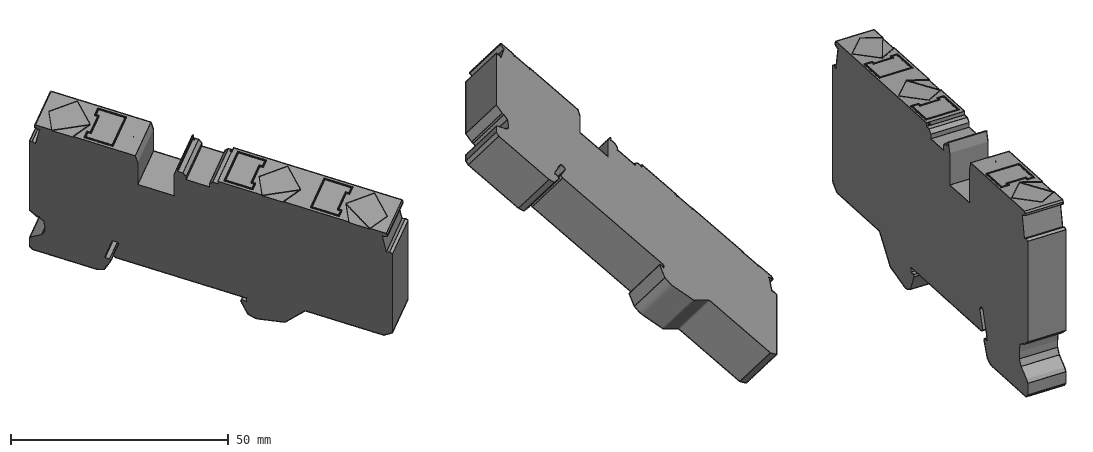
import cadquery as cq

LENGTH = 89.2
WIDTH = 10.2
HEIGHT = 49.7

SHOULDER_Z = 42.4
RAIL_Z = 7.0
RAIL_LIP_Z = 5.7
TAIL_Z = 9.1
TAIL_CHAMFER = 2.05
LIP_CHAMFER = 0.5
RAIL_STOP_X = 53.3
FLEX_SLOT_Z = 12.5

LEDGE_RISE = 0.4
HOOK_X = 1.25
HOOK_BOTTOM = 1.1
HOOK_CHAMFER_X = 0.3
HOOK_CHAMFER_Z = 0.5

SLOT_LEFT = 26.7
SLOT_RIGHT = 35.6
SLOT_FLOOR_Z = 38.6
SLOT_FLARE = 0.6
SLOT_FLARE_DEPTH = 2.6

MARKER_LEFT = 36.5
MARKER_RIGHT = 46.3
MARKER_STEP_Z = 48.7
MARKER_BEVEL_Z = 47.7
MARKER_FLOOR_Z = 46.5
MARKER_STEP = 1.25
MARKER_BEVEL = 0.8

NUB_REACH = 0.5
NUB_Z = 49.2
NUB_HALF_HEIGHT = 0.2
NUB_ROOT = 0.1
NUB_Y_MIN = 9.3
NUB_Y_MAX = 9.7

BUTTON_LEFT_X = 20.25
BUTTON_MIDDLE_X = 47.5
BUTTON_RIGHT_X = 68.8
BUTTON_LENGTH = 7.05
BUTTON_Y_MIN = 0.7
BUTTON_Y_MAX = 9.5
BUTTON_NOTCH = 0.8
BUTTON_NOTCH_Y_MIN = 2.6
BUTTON_NOTCH_Y_MAX = 7.4
GROOVE_WIDTH = 0.3
GROOVE_DEPTH = 0.3

ENTRY_END_OFFSET = 8.1
ENTRY_MIDDLE_X = 59.8
ENTRY_HALF_WIDTH = 5.1
ENTRY_Y = 4.6
ENTRY_BACK_Y = 9.7
ENTRY_MOUTH = 2.6
ENTRY_DEPTH = 0.1
TRIANGLE_DEPTH = 0.3

TEST_POINT = (23.7, 4.9)
TEST_POINT_DIAMETER = 0.1
TEST_POINT_DEPTH = 0.3


def shoulder_points():
    """Ledge and hooked top edge at the left end, from the ledge upward."""
    return [
        (0, SHOULDER_Z),
        (0.7, SHOULDER_Z + LEDGE_RISE),
        (1.5, SHOULDER_Z),
        (2.5, HEIGHT - 1.6),
        (HOOK_X, HEIGHT - HOOK_BOTTOM),
        (HOOK_X, HEIGHT - HOOK_CHAMFER_Z),
        (HOOK_X + HOOK_CHAMFER_X, HEIGHT),
    ]


def slot_points():
    """Deep slot with walls that flare toward the top face."""
    return [
        (SLOT_LEFT - SLOT_FLARE, HEIGHT),
        (SLOT_LEFT, HEIGHT - SLOT_FLARE_DEPTH),
        (SLOT_LEFT, SLOT_FLOOR_Z),
        (SLOT_RIGHT, SLOT_FLOOR_Z),
        (SLOT_RIGHT, HEIGHT - SLOT_FLARE_DEPTH),
        (SLOT_RIGHT + SLOT_FLARE, HEIGHT),
    ]


def marker_groove_points():
    """Stepped groove, symmetric about its own middle."""
    left_half = [
        (MARKER_LEFT, HEIGHT),
        (MARKER_LEFT, MARKER_STEP_Z),
        (MARKER_LEFT + MARKER_STEP, MARKER_STEP_Z),
        (MARKER_LEFT + MARKER_STEP + MARKER_BEVEL, MARKER_BEVEL_Z),
        (MARKER_LEFT + MARKER_STEP + MARKER_BEVEL, MARKER_FLOOR_Z),
    ]
    right_half = [(MARKER_LEFT + MARKER_RIGHT - x, z) for x, z in reversed(left_half)]
    return left_half + right_half


def add_lines(outline, points):
    for point in points:
        outline = outline.lineTo(*point)
    return outline


def side_outline():
    """Closed side outline in the XZ plane, clockwise from the lower left corner."""
    left_end = shoulder_points()
    right_end = [(LENGTH - x, z) for x, z in reversed(left_end)]
    finger_recess = [
        (0, 4.1),
        (0.5, 4.9),
        (3.0, 7.05),
        (3.8, 8.65),
        (3.8, 10.4),
        (3.6, 12.7),
        (2.4, 13.6),
        (1.9, 13.6),
        (0, 15.25),
    ]
    tail = [
        (LENGTH, TAIL_Z + TAIL_CHAMFER),
        (LENGTH - TAIL_CHAMFER, TAIL_Z),
        (68.15, TAIL_Z),
    ]
    fixed_foot_grip = [
        (53.6, 0.9),
        (51.9, RAIL_LIP_Z - LIP_CHAMFER),
        (52.1, RAIL_LIP_Z),
        (RAIL_STOP_X, RAIL_LIP_Z),
        (RAIL_STOP_X, RAIL_Z),
    ]
    flex_slot_right = [(21.1, RAIL_Z), (20.5, RAIL_Z + 0.6), (21.9, FLEX_SLOT_Z)]
    release_foot = [
        (18.6, 6.4),
        (18.6, RAIL_LIP_Z),
        (19.7, RAIL_LIP_Z),
        (20.1, RAIL_LIP_Z - LIP_CHAMFER),
        (18.5, 0.9),
        (16.8, 0),
        (0.8, 0),
    ]

    outline = cq.Workplane("XZ").moveTo(0, 1.0)
    outline = add_lines(outline, finger_recess)
    outline = add_lines(outline, left_end + slot_points() + marker_groove_points() + right_end)
    outline = add_lines(outline, tail)
    outline = outline.threePointArc((67.8, TAIL_Z - 0.1), (67.4, TAIL_Z - 0.45)).lineTo(63.3, 2.85)
    outline = outline.threePointArc((62.9, 2.2), (62.1, 1.9)).lineTo(56.4, 0.2)
    outline = outline.threePointArc((55.6, 0.1), (54.9, 0.3))
    outline = add_lines(outline, fixed_foot_grip + flex_slot_right)
    outline = outline.threePointArc((21.3, FLEX_SLOT_Z + 0.8), (20.4, FLEX_SLOT_Z + 0.5))
    outline = add_lines(outline, release_foot)
    return outline.close()


def cut_from_top(points, depth):
    """Prism that reaches from the top face down to the given depth."""
    return cq.Workplane("XY").workplane(offset=HEIGHT - depth).polyline(points).close().extrude(depth)


def button_outline(plain_x, direction, inset):
    """Rectangle whose far side carries a shallow notch, shrunk by inset."""
    near = plain_x + direction * inset
    far = plain_x + direction * (BUTTON_LENGTH - inset)
    notch = far - direction * BUTTON_NOTCH
    return [
        (near, BUTTON_Y_MIN + inset),
        (far, BUTTON_Y_MIN + inset),
        (far, BUTTON_NOTCH_Y_MIN - inset),
        (notch, BUTTON_NOTCH_Y_MIN - inset),
        (notch, BUTTON_NOTCH_Y_MAX + inset),
        (far, BUTTON_NOTCH_Y_MAX + inset),
        (far, BUTTON_Y_MAX - inset),
        (near, BUTTON_Y_MAX - inset),
    ]


def button_groove(plain_x, direction):
    outer = cut_from_top(button_outline(plain_x, direction, 0), GROOVE_DEPTH)
    inner = cut_from_top(button_outline(plain_x, direction, GROOVE_WIDTH), GROOVE_DEPTH)
    return outer.cut(inner)


def wire_entry(center_x, direction):
    """Shallow kite with a deeper triangle running to its point on the given side."""
    tip = (center_x + direction * ENTRY_HALF_WIDTH, ENTRY_Y)
    back = (center_x, ENTRY_BACK_Y)
    far_corner = (center_x - direction * ENTRY_HALF_WIDTH, ENTRY_Y)
    far_mouth = (center_x - direction * ENTRY_MOUTH, 0)
    near_mouth = (center_x + direction * ENTRY_MOUTH, 0)
    kite = cut_from_top([tip, back, far_corner, far_mouth, near_mouth], ENTRY_DEPTH)
    triangle = cut_from_top([tip, far_mouth, near_mouth], TRIANGLE_DEPTH)
    return kite.union(triangle)


def marker_nub(wall_x, direction):
    """Pointed nub on a marker groove wall, rooted slightly inside the wall."""
    root_x = wall_x - direction * NUB_ROOT
    profile = [
        (root_x, NUB_Z - NUB_HALF_HEIGHT),
        (wall_x, NUB_Z - NUB_HALF_HEIGHT),
        (wall_x + direction * NUB_REACH, NUB_Z),
        (wall_x, NUB_Z + NUB_HALF_HEIGHT),
        (root_x, NUB_Z + NUB_HALF_HEIGHT),
    ]
    start = cq.Workplane("XZ", origin=(0, NUB_Y_MIN, 0))
    return start.polyline(profile).close().extrude(NUB_Y_MIN - NUB_Y_MAX)


body = side_outline().extrude(-WIDTH)

for wall_x, direction in [(MARKER_LEFT, 1), (MARKER_RIGHT, -1)]:
    body = body.union(marker_nub(wall_x, direction))

for plain_x, direction in [(BUTTON_LEFT_X, -1), (BUTTON_MIDDLE_X, 1), (BUTTON_RIGHT_X, 1)]:
    body = body.cut(button_groove(plain_x, direction))

for center_x, direction in [(ENTRY_END_OFFSET, 1), (ENTRY_MIDDLE_X, 1), (LENGTH - ENTRY_END_OFFSET, -1)]:
    body = body.cut(wire_entry(center_x, direction))

test_hole = (
    cq.Workplane("XY")
    .workplane(offset=HEIGHT - TEST_POINT_DEPTH)
    .center(*TEST_POINT)
    .circle(TEST_POINT_DIAMETER / 2)
    .extrude(TEST_POINT_DEPTH)
)
result = body.cut(test_hole)